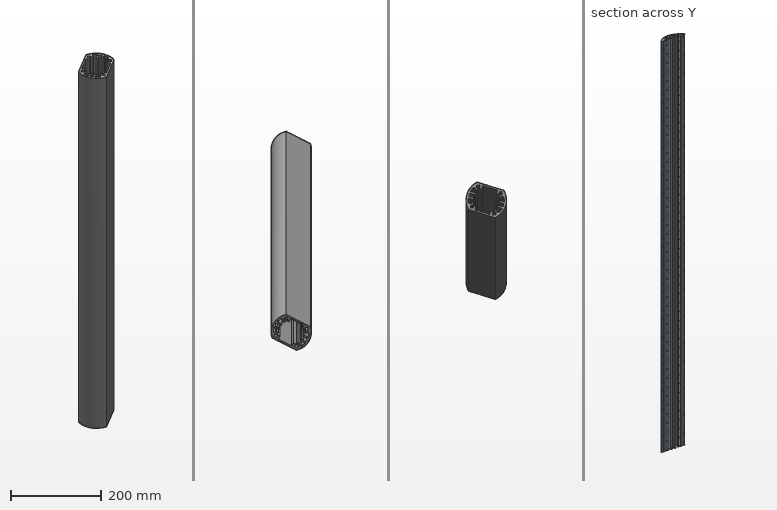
import cadquery as cq

length = 1000.0
width = 65.0
depth = 90.0
outer_radius = depth / 2

side_wall = 4.0
end_wall = 5.0
inner_radius = outer_radius - end_wall
inner_half_width = width / 2 - side_wall

corner_inner_x = 20.0
corner_inner_y = 17.0
corner_hole_x = 24.0
corner_hole_y = 26.0
corner_hole_radius = 3.5
lip_tip_x = 14.0
lip_inner_y = 25.0
lip_outer_y = 30.0
channel_side_x = 18.0

rib_width = 16.0
rib_inner_y = 28.0
port_y = 36.0
port_radius = 4.0
port_mouth_width = 6.0


def flattened_cylinder(radius, half_width):
    """Full-length cylinder cut by two flats facing -X and +X."""
    box = cq.Workplane("XY").rect(2 * half_width, 2 * radius).extrude(length)
    return cq.Workplane("XY").circle(radius).extrude(length).intersect(box)


def bar(x_min, x_max, y_min, y_max):
    """Full-length rectangular bar."""
    return (
        cq.Workplane("XY")
        .center((x_min + x_max) / 2, (y_min + y_max) / 2)
        .rect(x_max - x_min, y_max - y_min)
        .extrude(length)
    )


def round_bar(x, y, radius):
    """Full-length round bar."""
    return cq.Workplane("XY").center(x, y).circle(radius).extrude(length)


def corner_block():
    """Block in the +X +Y corner, reaching out to the tube's outer boundary."""
    block = bar(corner_inner_x, width / 2, corner_inner_y, outer_radius)
    channel_side = bar(channel_side_x, corner_inner_x, lip_inner_y, outer_radius)
    lip = bar(lip_tip_x, corner_inner_x, lip_inner_y, lip_outer_y)
    hole = round_bar(corner_hole_x, corner_hole_y, corner_hole_radius)
    return block.union(channel_side).union(lip).cut(hole)


def central_rib():
    """Rib on the +Y end with its screw port and mouth."""
    rib = bar(-rib_width / 2, rib_width / 2, rib_inner_y, outer_radius)
    mouth = bar(-port_mouth_width / 2, port_mouth_width / 2, rib_inner_y, port_y)
    return rib.cut(round_bar(0, port_y, port_radius)).cut(mouth)


bore = flattened_cylinder(inner_radius, inner_half_width)
result = flattened_cylinder(outer_radius, width / 2).cut(bore)

right_corner = corner_block()
left_corner = right_corner.mirror("YZ")
for detail in (right_corner, left_corner, central_rib()):
    fitted = detail.intersect(bore)
    result = result.union(fitted).union(fitted.mirror("XZ"))